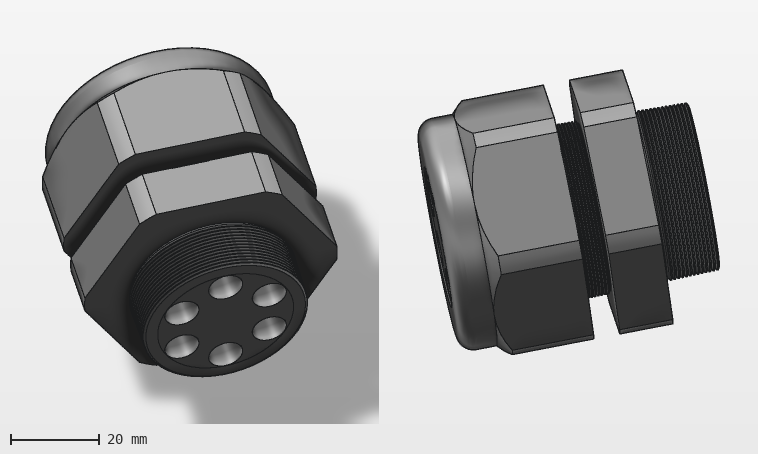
import cadquery as cq
import math


LENGTH = 60.95
CAP_END = 8.4
FRONT_HEX_END = 30.0
REAR_HEX_START = 35.95
REAR_HEX_END = 48.15

ACROSS_FLATS = 53.1
ACROSS_CORNERS = 58.9
CORNER_RADIUS = ACROSS_CORNERS / 2

CAP_RADIUS = ACROSS_FLATS / 2
CAP_FILLET = 3.8

CREST_RADIUS = 19.95
CREST_TAPER = 0.025
RIDGE_DEPTH = 0.55
CREST_FLAT = 0.25

MIDDLE_NECK = 0.35
MIDDLE_START = FRONT_HEX_END + MIDDLE_NECK
MIDDLE_LENGTH = 5.35
MIDDLE_TURNS = 7
MIDDLE_PITCH = MIDDLE_LENGTH / MIDDLE_TURNS

REAR_LENGTH = 11.65
REAR_START = LENGTH - REAR_LENGTH
REAR_TURNS = 13
REAR_PITCH = REAR_LENGTH / REAR_TURNS
RUN_IN_HEIGHT = 0.3

PLUG_RADIUS = 15.85
RECESS_RADIUS = 16.1
RECESS_DEPTH = 0.4
CABLE_HOLES = 6
CABLE_HOLE_DIAMETER = 7.9
CABLE_CIRCLE_RADIUS = 11.75


def cylinder(radius, start, end):
    return cq.Workplane("YZ").workplane(offset=start).circle(radius).extrude(end - start)


def hexagon(start, end):
    """Hexagonal prism with flats facing +Z and -Z and rounded corners."""
    corner_distance = ACROSS_FLATS / math.cos(math.pi / 6)
    prism = cq.Workplane("YZ").workplane(offset=start).polygon(6, corner_distance).extrude(end - start)
    return prism.intersect(cylinder(CORNER_RADIUS, start, end))


def front_hexagon():
    """Hexagon whose front corners are cut by a 45 degree cone that starts at the cap."""
    cone_length = CORNER_RADIUS - CAP_RADIUS
    envelope = (
        cylinder(CORNER_RADIUS, CAP_END, FRONT_HEX_END)
        .faces("<X")
        .chamfer(cone_length)
    )
    return hexagon(CAP_END, FRONT_HEX_END).intersect(envelope)


def cap():
    return cylinder(CAP_RADIUS, 0, CAP_END).faces("<X").edges().fillet(CAP_FILLET)


def crest_radius(x):
    return CREST_RADIUS - CREST_TAPER * (x - FRONT_HEX_END)


def root_radius(x):
    return crest_radius(x) - RIDGE_DEPTH


def ridge_points(start, pitch, turns):
    """Outline points of flat-topped ridges, from the first root to the last root."""
    points = [(start, root_radius(start))]
    for turn in range(turns):
        middle = start + (turn + 0.5) * pitch
        root = start + (turn + 1) * pitch
        points.append((middle - CREST_FLAT / 2, crest_radius(middle)))
        points.append((middle + CREST_FLAT / 2, crest_radius(middle)))
        points.append((root, root_radius(root)))
    return points


def revolve_about_x(outline):
    return cq.Workplane("XY").polyline(outline).close().revolve(360, (0, 0, 0), (1, 0, 0))


def middle_thread():
    front_neck = [(FRONT_HEX_END, 0), (FRONT_HEX_END, root_radius(MIDDLE_START))]
    rear_neck = [(REAR_HEX_START, root_radius(REAR_HEX_START)), (REAR_HEX_START, 0)]
    return revolve_about_x(front_neck + ridge_points(MIDDLE_START, MIDDLE_PITCH, MIDDLE_TURNS) + rear_neck)


def rear_thread():
    neck_radius = root_radius(REAR_START)
    run_in = [
        (REAR_HEX_END, 0),
        (REAR_HEX_END, neck_radius),
        (REAR_START - REAR_PITCH / 2, neck_radius + RUN_IN_HEIGHT),
    ]
    return revolve_about_x(run_in + ridge_points(REAR_START, REAR_PITCH, REAR_TURNS) + [(LENGTH, 0)])


def make_housing():
    body = cap().union(front_hexagon()).union(middle_thread())
    body = body.union(hexagon(REAR_HEX_START, REAR_HEX_END)).union(rear_thread())
    bore = cylinder(PLUG_RADIUS, 0, LENGTH)
    recess = cylinder(RECESS_RADIUS, 0, RECESS_DEPTH)
    return body.cut(bore).cut(recess)


def make_plug():
    """Plug filling the bore, flush with the recess floor, with a ring of cable holes."""
    cable_holes = (
        cq.Workplane("YZ")
        .workplane(offset=RECESS_DEPTH)
        .polarArray(CABLE_CIRCLE_RADIUS, 90, 360, CABLE_HOLES)
        .circle(CABLE_HOLE_DIAMETER / 2)
        .extrude(LENGTH - RECESS_DEPTH)
    )
    return cylinder(PLUG_RADIUS, RECESS_DEPTH, LENGTH).cut(cable_holes)


housing = make_housing()
plug = make_plug()
result = cq.Compound.makeCompound([housing.val(), plug.val()])